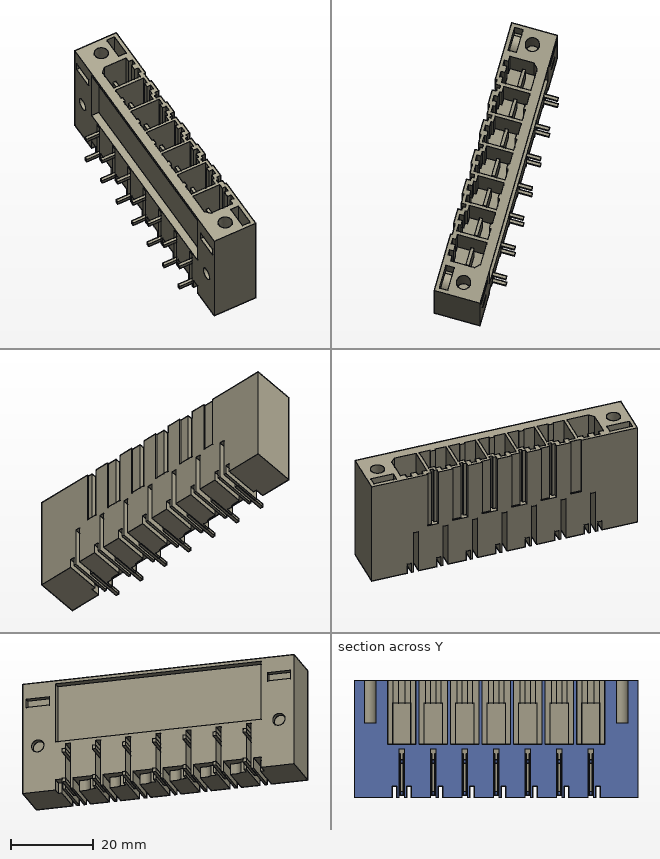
import cadquery as cq


LENGTH = 68.6
DEPTH = 11.5
HEIGHT = 28.3
PITCH = 7.6
CONTACT_COUNT = 7
FLANGE_X = (CONTACT_COUNT + 1) / 2 * PITCH
HALF_ROW = 26.0

RECESS_DEPTH = 2.0
RECESS_TOP = HEIGHT - 0.8
RECESS_BOTTOM = HEIGHT - 15.85

POCKET_DEPTH = 15.4
POCKET_FRONT = 2.5
POCKET_BACK = 9.7
POCKET_HALF = 3.4
END_POCKET_HALF = 3.35
END_CHAMFER = 1.2
KEY_WIDTH = 1.3
KEY_BACK = 10.7
SHOULDER_X = 1.85
LEFT_SHOULDER_BACK = 10.3
RIGHT_SHOULDER_BACK = 9.05
END_KEY_X = 1.45
END_SHOULDER_X = END_KEY_X + KEY_WIDTH / 2
END_SHOULDER_BACK = 9.9
FRONT_RIB_HEIGHT = 0.4

NOTCH_BACK = 11.1
NOTCH_STEP_X = 2.7
NOTCH_STEP_BACK = 10.5
NOTCH_FLOOR = 9.9
END_NOTCH_X = 3.0

NUT_SLOT_WIDTH = 5.8
NUT_SLOT_FRONT = 8.4
NUT_SLOT_BACK = 10.5
NUT_SLOT_DEPTH = 6.85
DOME_WIDTH = 4.6
DOME_RISE = 0.9
SCREW_HOLE_DIAMETER = 3.4
SCREW_HOLE_Y = 5.2
SCREW_HOLE_DEPTH = 10.3
WINDOW_TOP = HEIGHT - 4.0
WINDOW_HEIGHT = 2.1
FRONT_HOLE_DIAMETER = 3.1
FRONT_HOLE_Z = HEIGHT - 16.4
FRONT_CUT_DEPTH = 1.4

SLOT_WIDTH = 1.25
SLOT_TOP = HEIGHT - 16.6
RIB_HALF = 1.25
RELIEF_HEIGHT = 2.7
GAP_END = 2.25
RELIEF_BACK = 2.4
SCOOP_START = 3.4
SCOOP_END = 5.15
SCOOP_BACK = 1.85
SCOOP_RADIUS = 2.25

STOCK = 0.8
BLADE_WIDTH = 4.4
BLADE_Y = 5.75
BLADE_TOP = HEIGHT - 5.5
BLADE_BOTTOM = HEIGHT - 17.75
LEG_HEIGHT = 0.95
LEG_LENGTH = 3.35
UPPER_LEG_Z = HEIGHT - 19.6
LOWER_LEG_Z = HEIGHT - 27.3

contact_xs = [(i - (CONTACT_COUNT - 1) / 2) * PITCH for i in range(CONTACT_COUNT)]


def block(x0, x1, y0, y1, z0, z1):
    return cq.Workplane("XY").box(x1 - x0, y1 - y0, z1 - z0, centered=False).translate((x0, y0, z0))


def prism(points, z0, z1):
    return cq.Workplane("XY", origin=(0, 0, z0)).polyline(points).close().extrude(z1 - z0)


def pocket(center_x):
    """Pocket with one key slot at the back, a step on each side of it and a low rib at the front."""
    half_key = KEY_WIDTH / 2
    outline = [
        (-POCKET_HALF, POCKET_FRONT),
        (-half_key, POCKET_FRONT),
        (-half_key, POCKET_FRONT + FRONT_RIB_HEIGHT),
        (half_key, POCKET_FRONT + FRONT_RIB_HEIGHT),
        (half_key, POCKET_FRONT),
        (POCKET_HALF, POCKET_FRONT),
        (POCKET_HALF, RIGHT_SHOULDER_BACK),
        (SHOULDER_X, RIGHT_SHOULDER_BACK),
        (SHOULDER_X, POCKET_BACK),
        (half_key, POCKET_BACK),
        (half_key, KEY_BACK),
        (-half_key, KEY_BACK),
        (-half_key, POCKET_BACK),
        (-SHOULDER_X, POCKET_BACK),
        (-SHOULDER_X, LEFT_SHOULDER_BACK),
        (-POCKET_HALF, LEFT_SHOULDER_BACK),
    ]
    return prism(outline, HEIGHT - POCKET_DEPTH, HEIGHT).translate((center_x, 0, 0))


def left_end_pocket():
    """First pocket, centred on X = 0: two key slots and a chamfered outer front corner."""
    outline = [
        (-END_POCKET_HALF + END_CHAMFER, POCKET_FRONT),
        (END_POCKET_HALF, POCKET_FRONT),
        (END_POCKET_HALF, END_SHOULDER_BACK),
        (END_SHOULDER_X, END_SHOULDER_BACK),
        (END_SHOULDER_X, POCKET_BACK),
        (-END_POCKET_HALF, POCKET_BACK),
        (-END_POCKET_HALF, POCKET_FRONT + END_CHAMFER),
    ]
    bottom = HEIGHT - POCKET_DEPTH
    body = prism(outline, bottom, HEIGHT)
    for key_x in (-END_KEY_X, END_KEY_X):
        left = key_x - KEY_WIDTH / 2
        body = body.union(block(left, left + KEY_WIDTH, POCKET_BACK, KEY_BACK, bottom, HEIGHT))
    return body


def back_notch(index):
    """Notch in the back face, as deep as the pockets, to the right of contact number `index`."""
    x = contact_xs[index]
    next_x = x + PITCH
    floor = HEIGHT - POCKET_DEPTH
    if index == 0:
        return block(x + END_NOTCH_X, next_x - SHOULDER_X, NOTCH_BACK, DEPTH, floor, HEIGHT)
    last = index == CONTACT_COUNT - 2
    right_x = next_x - (END_NOTCH_X if last else SHOULDER_X)
    outline = [
        (x + SHOULDER_X, DEPTH),
        (x + SHOULDER_X, NOTCH_STEP_BACK),
        (x + NOTCH_STEP_X, NOTCH_STEP_BACK),
        (x + NOTCH_STEP_X, NOTCH_FLOOR),
        (x + POCKET_HALF, NOTCH_FLOOR),
        (x + POCKET_HALF, NOTCH_BACK),
        (right_x, NOTCH_BACK),
        (right_x, DEPTH),
    ]
    return prism(outline, floor, HEIGHT)


def bottom_relief(x):
    """Relief between two contacts: a gap through to the back, then a shallow scooped wall."""
    return (
        cq.Workplane("XY")
        .moveTo(x + RIB_HALF, 0)
        .lineTo(x + RIB_HALF, DEPTH)
        .lineTo(x + GAP_END, DEPTH)
        .lineTo(x + GAP_END, RELIEF_BACK)
        .lineTo(x + SCOOP_START, RELIEF_BACK)
        .radiusArc((x + SCOOP_END, SCOOP_BACK), SCOOP_RADIUS)
        .lineTo(x + PITCH - RIB_HALF, SCOOP_BACK)
        .lineTo(x + PITCH - RIB_HALF, 0)
        .close()
        .extrude(RELIEF_HEIGHT)
    )


def right_end_relief():
    """Relief to the right of the last contact."""
    x = contact_xs[-1]
    gap = block(x + RIB_HALF, x + GAP_END, 0, DEPTH, 0, RELIEF_HEIGHT)
    return gap.union(block(x + RIB_HALF, HALF_ROW, 0, RELIEF_BACK, 0, RELIEF_HEIGHT))


def nut_slot():
    """Slot in the top of a flange, centred on X = 0, with a domed floor."""
    half = NUT_SLOT_WIDTH / 2
    half_dome = DOME_WIDTH / 2
    floor = HEIGHT - NUT_SLOT_DEPTH
    return (
        cq.Workplane("XZ", origin=(0, NUT_SLOT_BACK, 0))
        .moveTo(-half, HEIGHT)
        .lineTo(-half, floor)
        .lineTo(-half_dome, floor)
        .threePointArc((0, floor + DOME_RISE), (half_dome, floor))
        .lineTo(half, floor)
        .lineTo(half, HEIGHT)
        .close()
        .extrude(NUT_SLOT_BACK - NUT_SLOT_FRONT)
    )


def flange_cuts():
    """Everything cut from one end flange, centred on X = 0."""
    half = NUT_SLOT_WIDTH / 2
    window = block(-half, half, 0, FRONT_CUT_DEPTH, WINDOW_TOP - WINDOW_HEIGHT, WINDOW_TOP)
    front_hole = cq.Workplane("XZ", origin=(0, 0, FRONT_HOLE_Z)).circle(FRONT_HOLE_DIAMETER / 2)
    screw_hole = cq.Workplane("XY", origin=(0, SCREW_HOLE_Y, HEIGHT)).circle(SCREW_HOLE_DIAMETER / 2)
    return [
        nut_slot(),
        window,
        front_hole.extrude(-FRONT_CUT_DEPTH),
        screw_hole.extrude(-SCREW_HOLE_DEPTH),
    ]


def contact_blade(x):
    half = BLADE_WIDTH / 2
    y = BLADE_Y - STOCK / 2
    return block(x - half, x + half, y, y + STOCK, BLADE_BOTTOM, BLADE_TOP)


def make_contact(x):
    """Wide blade, a narrow bar below it and two legs that reach out of the front."""
    left = x - STOCK / 2
    right = x + STOCK / 2
    back = BLADE_Y + STOCK / 2
    half_leg = LEG_HEIGHT / 2
    contact = contact_blade(x).union(
        block(left, right, back - STOCK, back, LOWER_LEG_Z - half_leg, BLADE_BOTTOM)
    )
    for leg_z in (UPPER_LEG_Z, LOWER_LEG_Z):
        contact = contact.union(block(left, right, -LEG_LENGTH, back, leg_z - half_leg, leg_z + half_leg))
    return contact


def make_housing():
    housing = block(-LENGTH / 2, LENGTH / 2, 0, DEPTH, 0, HEIGHT)
    housing = housing.cut(block(-HALF_ROW, HALF_ROW, 0, RECESS_DEPTH, RECESS_BOTTOM, RECESS_TOP))

    end_pocket = left_end_pocket()
    housing = housing.cut(end_pocket.translate((contact_xs[0], 0, 0)))
    housing = housing.cut(end_pocket.mirror("YZ").translate((contact_xs[-1], 0, 0)))
    for x in contact_xs[1:-1]:
        housing = housing.cut(pocket(x))

    for index, x in enumerate(contact_xs[:-1]):
        housing = housing.cut(back_notch(index)).cut(bottom_relief(x))
    end_relief = right_end_relief()
    housing = housing.cut(end_relief).cut(end_relief.mirror("YZ"))

    half_slot = SLOT_WIDTH / 2
    for x in contact_xs:
        housing = housing.cut(block(x - half_slot, x + half_slot, 0, DEPTH, 0, SLOT_TOP))
        housing = housing.cut(contact_blade(x))

    for flange_x in (-FLANGE_X, FLANGE_X):
        for cutter in flange_cuts():
            housing = housing.cut(cutter.translate((flange_x, 0, 0)))
    return housing


housing = make_housing()
contacts = [make_contact(x) for x in contact_xs]

result = cq.Compound.makeCompound([housing.val(), *[contact.val() for contact in contacts]])